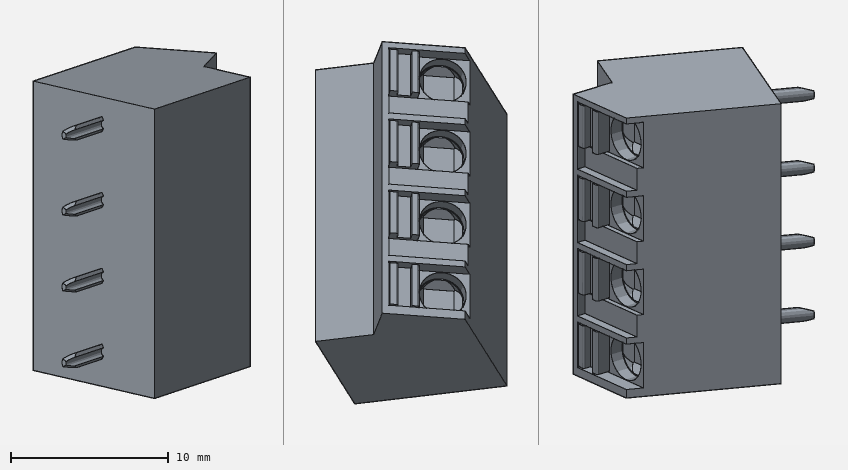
import cadquery as cq
import math


WIDTH = 10.0
HEIGHT = 12.38
LENGTH = 19.1
SHOULDER_Y = 9.5
SLANT_ANGLE = 25.0
PEAK_X = 4.83

POLES = 4
PITCH = 5.0
END_WALL = 0.4

POCKET_START = 0.42
ENTRY_DEPTH = 1.01
ENTRY_WIDTH = 3.1
RECESS_DEPTH = 0.63
RECESS_WIDTH = 1.49

BUTTON_CLEARANCE = 0.1
BUTTON_END = 2.4
BUTTON_ROUND = 0.13
SLOT_START = 1.05
SLOT_WIDTH = 0.88
SLOT_DEPTH = 0.57

HOLE_RADIUS = 1.5
HOLE_CENTER = 4.07
BORE_DEPTH = 0.9
FUNNEL_RADIUS = 1.45
FUNNEL_HALF_WIDTH = 1.41
FUNNEL_DEPTH = 0.57
FUNNEL_ANGLE = 37.0

PIN_LENGTH = 3.51
PIN_BACK_X = 5.31
PIN_FROM_END = 1.8
PIN_OUTER_RADIUS = 0.53
PIN_INNER_RADIUS = 0.3
PIN_THICKNESS = 0.3
HORN_SHOULDER_X = 0.25
HORN_TIP_X = 0.36
HORN_TIP_Z = 0.5
HORN_INNER_X = 0.5
TIP_LENGTH = 5.4
TIP_BEVEL_ANGLE = 30.0
TIP_HALF_WIDTH = 0.3
TIP_BEVEL_DEPTH = 1.9

SLANT = math.radians(SLANT_ANGLE)
DOWN_SLOPE = (-math.cos(SLANT), -math.sin(SLANT), 0)
INWARD = (math.sin(SLANT), -math.cos(SLANT), 0)
POCKET_END = 2 * PEAK_X


def slant_plane(z):
    return cq.Workplane(cq.Plane((PEAK_X, HEIGHT, z), DOWN_SLOPE, (0, 0, 1)))


def slant_box(start, end, depth, z_low, z_size):
    """Block sunk into the slanted face; its outer side lies on that face."""
    box = slant_plane(z_low).center(start, 0)
    return box.rect(end - start, depth, centered=False).extrude(z_size)


def housing():
    slant_low_y = HEIGHT - PEAK_X * math.tan(SLANT)
    shoulder_x = PEAK_X + (HEIGHT - SHOULDER_Y) * math.tan(SLANT)
    outline = [
        (0, 0),
        (WIDTH, 0),
        (WIDTH, SHOULDER_Y),
        (shoulder_x, SHOULDER_Y),
        (PEAK_X, HEIGHT),
        (0, slant_low_y),
    ]
    return cq.Workplane("XY").polyline(outline).close().extrude(LENGTH)


def button(z_low):
    start = POCKET_START + BUTTON_CLEARANCE
    z_size = ENTRY_WIDTH - 2 * BUTTON_CLEARANCE
    slot_end = SLOT_START + SLOT_WIDTH
    z_button = z_low + BUTTON_CLEARANCE
    profile = (
        slant_plane(z_button)
        .moveTo(start, ENTRY_DEPTH)
        .lineTo(start, 0)
        .lineTo(SLOT_START - BUTTON_ROUND, 0)
        .radiusArc((SLOT_START, BUTTON_ROUND), -BUTTON_ROUND)
        .lineTo(SLOT_START, SLOT_DEPTH)
        .lineTo(slot_end, SLOT_DEPTH)
        .lineTo(slot_end, 0)
        .lineTo(BUTTON_END - BUTTON_ROUND, 0)
        .radiusArc((BUTTON_END, BUTTON_ROUND), -BUTTON_ROUND)
        .lineTo(BUTTON_END, ENTRY_DEPTH)
        .close()
    )
    return profile.extrude(z_size)


def wire_hole(z_center):
    def at_depth(depth):
        center = slant_plane(z_center).plane.toWorldCoords((HOLE_CENTER, depth, 0))
        return cq.Workplane(cq.Plane(center, DOWN_SLOPE, INWARD))

    bore_end = ENTRY_DEPTH + BORE_DEPTH
    bore = at_depth(ENTRY_DEPTH).circle(HOLE_RADIUS).extrude(BORE_DEPTH)
    mouth = at_depth(bore_end).rect(2 * FUNNEL_HALF_WIDTH, 2 * FUNNEL_HALF_WIDTH)
    funnel = mouth.extrude(FUNNEL_DEPTH, taper=FUNNEL_ANGLE)
    round_limit = at_depth(bore_end).circle(FUNNEL_RADIUS).extrude(FUNNEL_DEPTH)
    return bore.union(funnel.intersect(round_limit))


def half_chord(radius, sagitta):
    return math.sqrt(radius**2 - (radius - sagitta) ** 2)


def tip_bevel(side):
    """Wedge that thins one horn (side +1 or -1 in Z) towards the pin end."""
    bevel = math.radians(TIP_BEVEL_ANGLE)
    edge_point = (PIN_BACK_X, -PIN_LENGTH, side * TIP_HALF_WIDTH)
    across = (math.sin(bevel), 0, side * math.cos(bevel))
    along_edge = (math.cos(bevel), 0, -side * math.sin(bevel))
    wedge = cq.Workplane(cq.Plane(edge_point, across, along_edge))
    reach = 2 * PIN_OUTER_RADIUS
    rise = -side * reach * TIP_LENGTH / TIP_BEVEL_DEPTH
    profile = wedge.polyline([(0, 0), (reach, 0), (reach, rise)]).close()
    return profile.extrude(reach, both=True)


def pin():
    """Solder pin on the Z = 0 plane, hanging from the -Y face of the housing."""
    shoulder_z = half_chord(PIN_OUTER_RADIUS, HORN_SHOULDER_X)
    inner_z = half_chord(PIN_INNER_RADIUS, HORN_INNER_X - PIN_THICKNESS)
    shoulder_x = PIN_BACK_X + HORN_SHOULDER_X
    tip_x = PIN_BACK_X + HORN_TIP_X
    inner_x = PIN_BACK_X + HORN_INNER_X
    crescent = (
        cq.Workplane("XZ")
        .moveTo(shoulder_x, shoulder_z)
        .threePointArc((PIN_BACK_X, 0), (shoulder_x, -shoulder_z))
        .lineTo(tip_x, -HORN_TIP_Z)
        .lineTo(inner_x, -inner_z)
        .threePointArc((PIN_BACK_X + PIN_THICKNESS, 0), (inner_x, inner_z))
        .lineTo(tip_x, HORN_TIP_Z)
        .close()
    )
    return crescent.extrude(PIN_LENGTH).cut(tip_bevel(1)).cut(tip_bevel(-1))


result = housing()
for pole in range(POLES):
    pole_top = LENGTH - pole * PITCH
    entry_low = pole_top - END_WALL - ENTRY_WIDTH
    result = result.cut(slant_box(POCKET_START, POCKET_END, ENTRY_DEPTH, entry_low, ENTRY_WIDTH))
    if pole < POLES - 1:
        recess_low = entry_low - RECESS_WIDTH
        result = result.cut(slant_box(POCKET_START, POCKET_END, RECESS_DEPTH, recess_low, RECESS_WIDTH))
    result = result.cut(wire_hole(entry_low + ENTRY_WIDTH / 2))
    result = result.union(button(entry_low))
    result = result.union(pin().translate((0, 0, pole_top - PIN_FROM_END)))